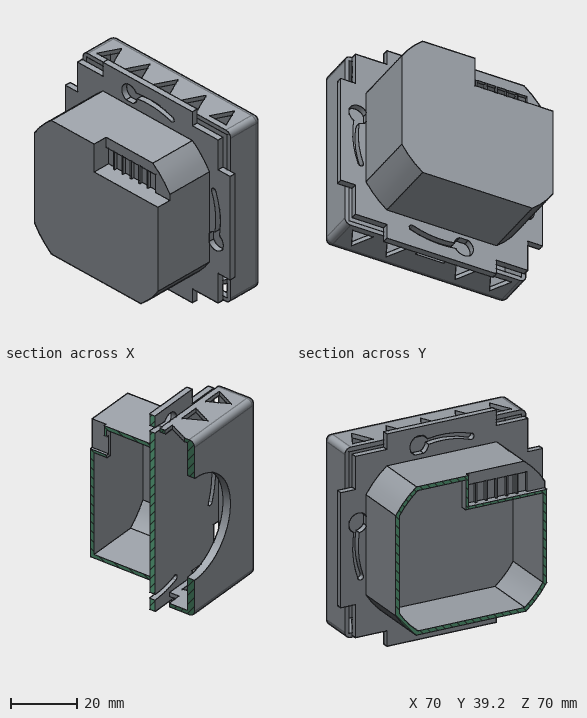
import cadquery as cq
import math

PLATE_SPAN = 70.0
PLATE_SQUARE = 59.8
PLATE_THICKNESS = 2.1
TAB_WIDTH = 37.95

SLOT_PATH_RADIUS = 29.9
SLOT_WIDTH = 1.95
SLOT_END_ANGLE = 20.0
KEYHOLE_ANGLE = 15.0
KEYHOLE_DIAMETER = 6.5
KEYHOLE_FLAT_DISTANCE = 26.0

BOX_WIDTH = 52.5
BOX_HEIGHT = 49.0
BOX_DEPTH = 22.25
BOX_CORNER_DIAMETER = 62.0
BOX_WALL = 1.5

RECESS_LEFT = -0.85
RECESS_BOTTOM = 14.3
RECESS_DEPTH = 5.2
RECESS_WALL = 1.05

WINDOW_COUNT = 6
WINDOW_WIDTH = 3.1
WINDOW_PITCH = 3.6
WINDOW_HEIGHT = 6.5

COVER_SIZE = 62.7
COVER_DEPTH = 13.1
COVER_GAP = 1.8
COVER_WALL = 1.5
COVER_FILLET = 2.0
COVER_FACE_THICKNESS = 2.8
COVER_OPENING_DIAMETER = 36.4

VENT_COUNT = 5
VENT_PITCH = 12.0
VENT_BASE = 7.15
VENT_HEIGHT = 7.15
VENT_RIM = 2.0
NOTCH_WIDTH = 9.8
NOTCH_DEPTH = 3.5

COVER_RIM_Y = PLATE_THICKNESS + COVER_GAP


def block(width, depth, height, x=0.0, y=0.0, z=0.0):
    """A block centred on x and z that runs from y towards +Y."""
    return cq.Workplane("XY").box(width, depth, height).translate((x, y + depth / 2, z))


def extrude_back(sketch_plane, depth):
    """Extrude an XZ sketch towards +Y."""
    return sketch_plane.extrude(-depth)


def polar(radius, angle):
    """Point on the XZ plane at an angle measured from +Z towards +X."""
    turn = math.radians(angle)
    return (radius * math.sin(turn), radius * math.cos(turn))


def make_keyhole_slot():
    """The upper slot: a round hole with one flat side and an arc-shaped tail."""
    inner = SLOT_PATH_RADIUS - SLOT_WIDTH / 2
    outer = SLOT_PATH_RADIUS + SLOT_WIDTH / 2
    middle_angle = (SLOT_END_ANGLE - KEYHOLE_ANGLE) / 2
    tail = extrude_back(
        cq.Workplane("XZ")
        .moveTo(*polar(inner, -KEYHOLE_ANGLE))
        .threePointArc(polar(inner, middle_angle), polar(inner, SLOT_END_ANGLE))
        .lineTo(*polar(outer, SLOT_END_ANGLE))
        .threePointArc(polar(outer, middle_angle), polar(outer, -KEYHOLE_ANGLE))
        .close(),
        PLATE_THICKNESS,
    )
    tail_end = extrude_back(
        cq.Workplane("XZ").center(*polar(SLOT_PATH_RADIUS, SLOT_END_ANGLE)).circle(SLOT_WIDTH / 2),
        PLATE_THICKNESS,
    )
    hole = extrude_back(
        cq.Workplane("XZ").center(*polar(SLOT_PATH_RADIUS, -KEYHOLE_ANGLE)).circle(KEYHOLE_DIAMETER / 2),
        PLATE_THICKNESS,
    )
    below_flat = block(PLATE_SPAN, PLATE_THICKNESS, 2 * KEYHOLE_FLAT_DISTANCE)
    return hole.cut(below_flat).union(tail).union(tail_end)


def make_plate():
    plate = block(PLATE_SQUARE, PLATE_THICKNESS, PLATE_SQUARE)
    plate = plate.union(block(PLATE_SPAN, PLATE_THICKNESS, TAB_WIDTH))
    plate = plate.union(block(TAB_WIDTH, PLATE_THICKNESS, PLATE_SPAN))
    top_slot = make_keyhole_slot()
    side_slot = top_slot.mirror("YZ").rotate((0, 0, 0), (0, 1, 0), 90)
    for slot in (top_slot, side_slot):
        for half_turn in (0, 180):
            plate = plate.cut(slot.rotate((0, 0, 0), (0, 1, 0), half_turn))
    return plate


def make_box_core(inset):
    """The box shape, open-sided towards the plate, with its other faces moved inwards by inset."""
    depth = BOX_DEPTH - inset
    core = block(BOX_WIDTH - 2 * inset, depth, BOX_HEIGHT - 2 * inset, y=-depth)
    rounding = cq.Workplane("XZ").circle(BOX_CORNER_DIAMETER / 2 - inset).extrude(depth)
    return core.intersect(rounding)


def make_recess(margin):
    """The terminal recess, with its side, bottom and floor moved outwards by margin."""
    left = RECESS_LEFT - margin
    bottom = RECESS_BOTTOM - margin
    width = BOX_WIDTH / 2 - left
    height = BOX_HEIGHT / 2 - bottom
    return block(
        width,
        RECESS_DEPTH + margin,
        height,
        x=left + width / 2,
        y=-BOX_DEPTH,
        z=bottom + height / 2,
    )


def make_window(left):
    """Rectangular opening through the wall behind the recess."""
    return block(
        WINDOW_WIDTH,
        RECESS_WALL,
        WINDOW_HEIGHT,
        x=left + WINDOW_WIDTH / 2,
        y=RECESS_DEPTH - BOX_DEPTH,
        z=RECESS_BOTTOM + WINDOW_HEIGHT / 2,
    )


def make_box():
    cavity = make_box_core(BOX_WALL).cut(make_recess(RECESS_WALL))
    box = make_box_core(0).cut(make_recess(0)).cut(cavity)
    for index in range(WINDOW_COUNT):
        box = box.cut(make_window(RECESS_LEFT + index * WINDOW_PITCH))
    return box


def make_vent(x):
    """Triangular prism through the top and bottom walls, pointing towards +Y."""
    base_y = COVER_RIM_Y + VENT_RIM
    return (
        cq.Workplane("XY", origin=(x, 0, -COVER_SIZE / 2))
        .polyline([(-VENT_BASE / 2, base_y), (VENT_BASE / 2, base_y), (0, base_y + VENT_HEIGHT)])
        .close()
        .extrude(COVER_SIZE)
    )


def make_cover():
    cover = block(COVER_SIZE, COVER_DEPTH, COVER_SIZE, y=COVER_RIM_Y)
    cover = cover.edges("|Y or >Y").fillet(COVER_FILLET)
    cavity_size = COVER_SIZE - 2 * COVER_WALL
    cavity_depth = COVER_DEPTH - COVER_FACE_THICKNESS
    cover = cover.cut(block(cavity_size, cavity_depth, cavity_size, y=COVER_RIM_Y))
    opening = extrude_back(
        cq.Workplane("XZ", origin=(0, COVER_RIM_Y, 0)).circle(COVER_OPENING_DIAMETER / 2),
        COVER_DEPTH,
    )
    cover = cover.cut(opening)
    middle = (VENT_COUNT - 1) // 2
    for index in range(VENT_COUNT):
        vent = make_vent((index - middle) * VENT_PITCH)
        if index == middle:
            vent = vent.intersect(block(COVER_SIZE, 2 * COVER_SIZE, COVER_SIZE, z=COVER_SIZE / 2))
        cover = cover.cut(vent)
    notch = block(NOTCH_WIDTH, NOTCH_DEPTH, COVER_WALL, y=COVER_RIM_Y, z=(COVER_WALL - COVER_SIZE) / 2)
    return cover.cut(notch)


plate = make_plate()
box = make_box()
cover = make_cover()
result = cq.Compound.makeCompound([plate.val(), box.val(), cover.val()])